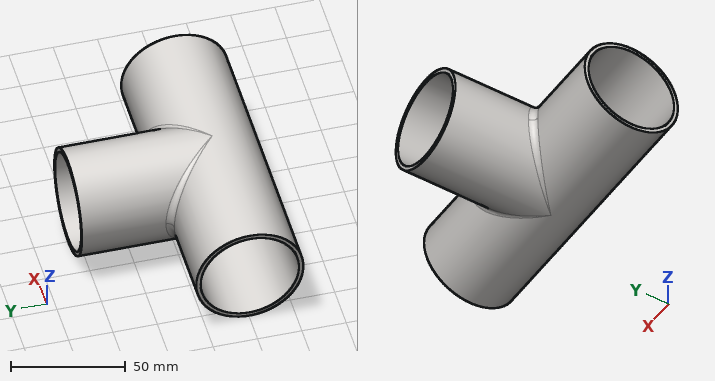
import cadquery as cq

run_length = 130.0
outer_diameter = 48.4
bore_diameter = 44.3
branch_reach = 65.0
crotch_radius = 3.0


def solid_tee(diameter):
    """Run cylinder joined to a branch cylinder of the same diameter."""
    run = cq.Workplane("YZ").circle(diameter / 2).extrude(run_length / 2, both=True)
    branch = cq.Workplane("XZ").circle(diameter / 2).extrude(-branch_reach)
    return run.union(branch)


outer_body = solid_tee(outer_diameter)
outer_body = outer_body.edges("%ELLIPSE").fillet(crotch_radius)

result = outer_body.cut(solid_tee(bore_diameter))